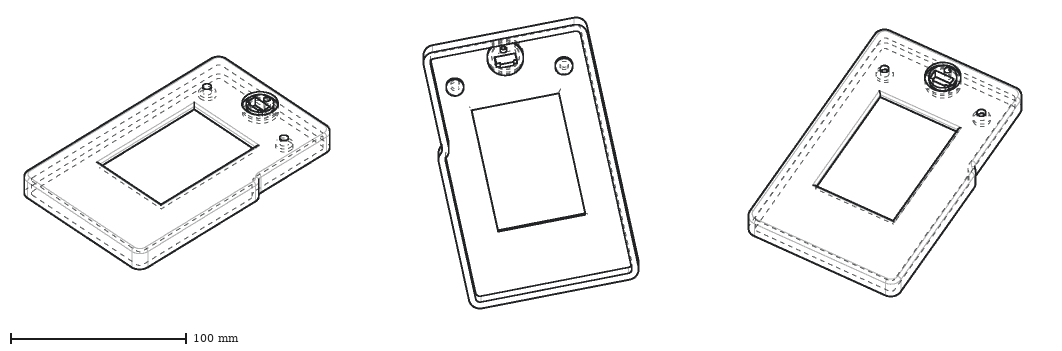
import cadquery as cq
import math

length = 157.5
width = 98.7
height = 14.0
corner_radius = 6.5
edge_fillet = 2.0
plate_thickness = 4.0
wall_thickness = 4.0

step_depth = 3.5
step_start_y = 12.9
step_inner_radius = 3.3

window_width = 50.9
window_length = 75.0
window_center_y = -1.18
window_fillet = 1.4
edge_margin = 0.2

port_y = 64.0
groove_outer_diameter = 20.6
groove_inner_diameter = 15.9
groove_depth = 2.5
slot_width = 12.1
slot_top_y = port_y + 1.9
slot_height = 6.0
key_width = 7.9
key_height = 1.0
pin_hole_diameter = 3.8
pin_hole_y = port_y + 5.4

blind_hole_diameter = 5.0
blind_hole_spacing = 63.5
blind_hole_y = 52.5
blind_hole_depth = plate_thickness

boss_depth = 6.1
boss_wall = 2.5

plate_bottom_z = height - plate_thickness
boss_bottom_z = height - boss_depth
blind_hole_points = [(side * blind_hole_spacing / 2, blind_hole_y) for side in (-1, 1)]


def stepped_outline(inset):
    """Closed outline of the cover, moved inward by inset, with its step on the +X side."""
    left = -width / 2 + inset
    right = width / 2 - inset
    bottom = -length / 2 + inset
    top = length / 2 - inset
    upper_right = right - step_depth
    radius = corner_radius - inset
    bend_radius = step_inner_radius + inset
    turn = math.acos(1 - step_depth / (radius + bend_radius))
    bend_x = right - radius * (1 - math.cos(turn))
    bend_y = step_start_y + radius * math.sin(turn)
    step_end_y = step_start_y + (radius + bend_radius) * math.sin(turn)
    return (
        cq.Workplane("XY")
        .moveTo(left + radius, bottom)
        .lineTo(right - radius, bottom)
        .radiusArc((right, bottom + radius), -radius)
        .lineTo(right, step_start_y)
        .radiusArc((bend_x, bend_y), -radius)
        .radiusArc((upper_right, step_end_y), bend_radius)
        .lineTo(upper_right, top - radius)
        .radiusArc((upper_right - radius, top), -radius)
        .lineTo(left + radius, top)
        .radiusArc((left, top - radius), -radius)
        .lineTo(left, bottom + radius)
        .radiusArc((left + radius, bottom), -radius)
        .close()
    )


def make_shell():
    """Hollow cover, open at the bottom, with a rounded upper rim."""
    body = stepped_outline(0).extrude(height).faces(">Z").edges().fillet(edge_fillet)
    return body.cut(stepped_outline(wall_thickness).extrude(plate_bottom_z))


def cut_window(body):
    """Rectangular opening with a rounded upper edge."""
    window = (
        cq.Workplane("XY")
        .center(0, window_center_y)
        .rect(window_width, window_length)
        .extrude(height)
    )
    half_x = window_width / 2 + edge_margin
    half_y = window_length / 2 + edge_margin
    top_edges = cq.selectors.BoxSelector(
        (-half_x, window_center_y - half_y, height - edge_margin),
        (half_x, window_center_y + half_y, height + edge_margin),
    )
    return body.cut(window).edges(top_edges).fillet(window_fillet)


def bosses():
    """Round bosses on the underside of the plate."""
    boss_plane = cq.Workplane("XY").workplane(offset=boss_bottom_z)
    boss_height = plate_bottom_z - boss_bottom_z
    port_boss = boss_plane.center(0, port_y).circle(groove_outer_diameter / 2).extrude(boss_height)
    hole_bosses = (
        boss_plane.pushPoints(blind_hole_points)
        .circle(blind_hole_diameter / 2 + boss_wall)
        .extrude(boss_height)
    )
    return port_boss.union(hole_bosses)


def port_cutter():
    """Ring groove in the top face, with the keyed slot and the round hole running through."""
    groove = (
        cq.Workplane("XY")
        .workplane(offset=height - groove_depth)
        .center(0, port_y)
        .circle(groove_outer_diameter / 2)
        .circle(groove_inner_diameter / 2)
        .extrude(groove_depth)
    )
    slot = (
        cq.Workplane("XY")
        .center(0, slot_top_y - slot_height / 2)
        .rect(slot_width, slot_height)
        .extrude(height)
    )
    key_total = slot_height + key_height
    key = (
        cq.Workplane("XY")
        .center(0, slot_top_y - key_total / 2)
        .rect(key_width, key_total)
        .extrude(height)
    )
    pin_hole = cq.Workplane("XY").center(0, pin_hole_y).circle(pin_hole_diameter / 2).extrude(height)
    return groove.union(slot).union(key).union(pin_hole)


def blind_hole_cutter():
    """Pair of blind holes entering from the top face."""
    return (
        cq.Workplane("XY")
        .workplane(offset=height - blind_hole_depth)
        .pushPoints(blind_hole_points)
        .circle(blind_hole_diameter / 2)
        .extrude(blind_hole_depth)
    )


result = cut_window(make_shell()).union(bosses()).cut(port_cutter()).cut(blind_hole_cutter())